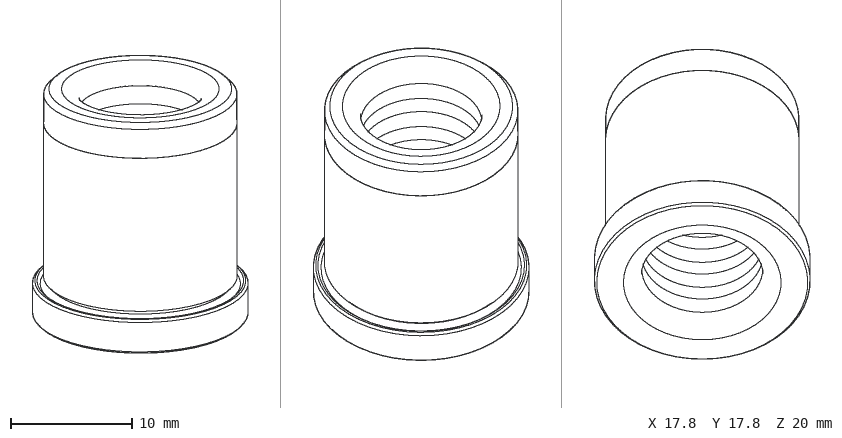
import cadquery as cq
import math

LENGTH = 20.0
FLANGE_RADIUS = 8.9
FLANGE_HEIGHT = 3.0
FLANGE_CHAMFER = 0.2

SLEEVE_RADIUS = 8.0
LEAD_RADIUS = 7.98
LEAD_LENGTH = 3.0
LEAD_CHAMFER = 0.45

UNDERCUT_NECK_RADIUS = 7.6
UNDERCUT_DEPTH = 0.25
UNDERCUT_MOUTH_RADIUS = 8.52
UNDERCUT_FILLET = 0.3

LINER_RADIUS = 6.5
BORE_RADIUS = 5.0
BORE_MOUTH_FILLET = 1.0

GROOVE_COUNT = 6
GROOVE_PITCH = 3.0
GROOVE_RADIUS = 0.8


def cylinder(radius, start, end):
    """Solid cylinder about Z between two heights."""
    return cq.Workplane("XY").workplane(offset=start).circle(radius).extrude(end - start)


def make_undercut():
    """Ring-shaped recess cut into the flange face and the foot of the sleeve."""
    floor_height = FLANGE_HEIGHT - UNDERCUT_DEPTH
    floor_outer_radius = UNDERCUT_MOUTH_RADIUS - UNDERCUT_DEPTH
    floor_inner_radius = UNDERCUT_NECK_RADIUS + UNDERCUT_FILLET
    neck_height = floor_height + UNDERCUT_FILLET
    sleeve_start = neck_height + SLEEVE_RADIUS - UNDERCUT_NECK_RADIUS
    fillet_bulge = UNDERCUT_FILLET * math.sqrt(0.5)
    fillet_middle = (floor_inner_radius - fillet_bulge, neck_height - fillet_bulge)
    return (
        cq.Workplane("XZ")
        .moveTo(UNDERCUT_MOUTH_RADIUS, FLANGE_HEIGHT)
        .lineTo(floor_outer_radius, floor_height)
        .lineTo(floor_inner_radius, floor_height)
        .threePointArc(fillet_middle, (UNDERCUT_NECK_RADIUS, neck_height))
        .lineTo(SLEEVE_RADIUS, sleeve_start)
        .lineTo(UNDERCUT_MOUTH_RADIUS, sleeve_start)
        .close()
        .revolve(360, (0, 0, 0), (0, 1, 0))
    )


def make_housing():
    """Flanged sleeve with a plain bore for the liner."""
    lead_start = LENGTH - LEAD_LENGTH
    flange = cylinder(FLANGE_RADIUS, 0, FLANGE_HEIGHT).edges().chamfer(FLANGE_CHAMFER)
    sleeve = cylinder(SLEEVE_RADIUS, FLANGE_HEIGHT, lead_start)
    lead = cylinder(LEAD_RADIUS, lead_start, LENGTH).faces(">Z").edges().chamfer(LEAD_CHAMFER)
    bore = cylinder(LINER_RADIUS, 0, LENGTH)
    return flange.union(sleeve).union(lead).cut(make_undercut()).cut(bore)


def make_liner():
    """Plain tube with rounded bore mouths and evenly spaced grease grooves."""
    bore = cylinder(BORE_RADIUS, 0, LENGTH)
    liner = cylinder(LINER_RADIUS, 0, LENGTH).cut(bore)
    liner = liner.edges(cq.selectors.RadiusNthSelector(0)).fillet(BORE_MOUTH_FILLET)
    first_groove = (LENGTH - (GROOVE_COUNT - 1) * GROOVE_PITCH) / 2
    for index in range(GROOVE_COUNT):
        height = first_groove + index * GROOVE_PITCH
        groove = cq.Solid.makeTorus(BORE_RADIUS, GROOVE_RADIUS, cq.Vector(0, 0, height))
        liner = liner.cut(cq.Workplane(groove))
    return liner


housing = make_housing()
liner = make_liner()
result = cq.Compound.makeCompound([*housing.solids().vals(), *liner.solids().vals()])